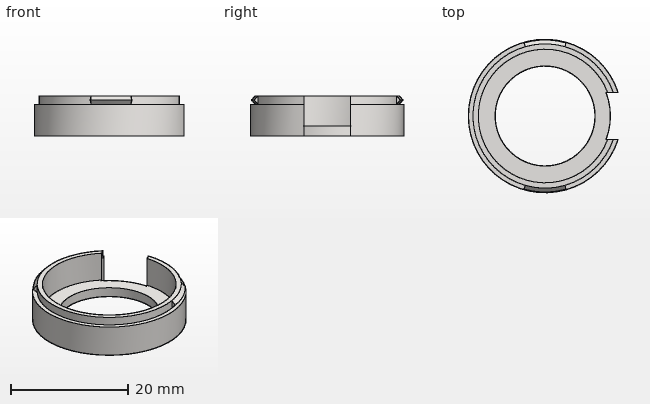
import cadquery as cq

outer_diameter = 26.2
total_height = 6.9
step_height = 5.45
collar_diameter = 24.6

floor_thickness = 1.73
pocket_diameter = 22.8
hole_diameter = 17.0

gap_width = 8.0
gap_floor_diameter = 22.32

ridge_tip_radius = 12.97
ridge_angle = 32.0


def cylinder(diameter, bottom, top):
    return cq.Workplane("XY").workplane(offset=bottom).circle(diameter / 2).extrude(top - bottom)


def stepped_ring():
    body = cylinder(outer_diameter, 0, step_height)
    collar = cylinder(collar_diameter, 0, total_height)
    pocket = cylinder(pocket_diameter, floor_thickness, total_height)
    hole = cylinder(hole_diameter, 0, floor_thickness)
    return body.union(collar).cut(pocket).cut(hole)


def wall_gap():
    """Full-height slot that removes the wall but leaves a round floor edge."""
    slot = cq.Workplane("XY").box(outer_diameter, gap_width, total_height, centered=(False, True, False))
    return slot.cut(cylinder(gap_floor_diameter, 0, total_height))


def snap_ridge(middle_angle):
    """V-section ridge swept around the collar, centred on middle_angle from +X."""
    root_radius = (pocket_diameter + collar_diameter) / 4
    collar_radius = collar_diameter / 2
    tip_height = (step_height + total_height) / 2
    section = (
        cq.Workplane("XZ")
        .moveTo(root_radius, step_height)
        .lineTo(collar_radius, step_height)
        .lineTo(ridge_tip_radius, tip_height)
        .lineTo(collar_radius, total_height)
        .lineTo(root_radius, total_height)
        .close()
    )
    ridge = section.revolve(ridge_angle, (0, 0, 0), (0, 1, 0))
    return ridge.rotate((0, 0, 0), (0, 0, 1), middle_angle - ridge_angle / 2)


result = stepped_ring().cut(wall_gap())
for ridge_position in (90, 270):
    result = result.union(snap_ridge(ridge_position))